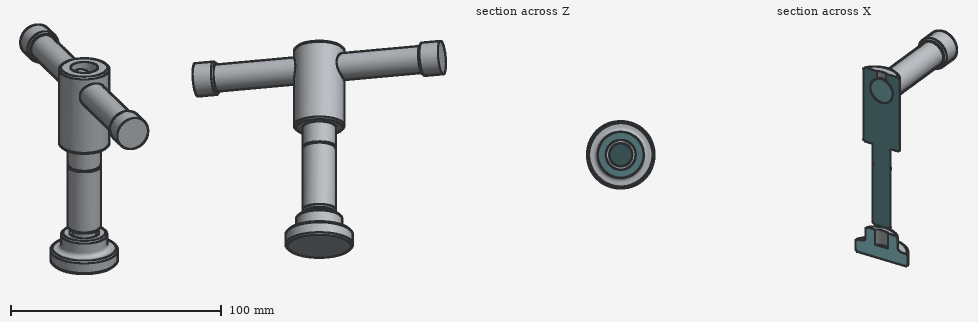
import cadquery as cq

total_height = 100.5
head_height = 40.0
head_bottom = total_height - head_height
edge_chamfer = 1.0

flange_diameter = 32.0
flange_height = 7.0
collar_diameter = 22.0
pad_height = 15.0
pad_fillet = 2.0
socket_diameter = 14.0
socket_floor = flange_height

head_diameter = 24.0
shaft_diameter = 16.0
shaft_bottom = 17.4
shaft_chamfer = 1.1
neck_diameter = 11.0
groove_height = 50.0
groove_half_width = 0.4
groove_depth = groove_half_width

handle_length = 120.0
handle_diameter = 13.0
handle_height = total_height - head_height / 4
knob_diameter = shaft_diameter
knob_length = 10.0
bore_diameter = handle_diameter


def make_pad():
    """Stepped round foot with chamfered rims and a filleted root below its collar, bored for the neck."""
    flange_radius = flange_diameter / 2
    socket_radius = socket_diameter / 2
    collar_radius = collar_diameter / 2
    profile = (
        cq.Workplane("XZ")
        .moveTo(0, socket_floor)
        .lineTo(socket_radius, socket_floor)
        .lineTo(socket_radius, pad_height)
        .lineTo(collar_radius - edge_chamfer, pad_height)
        .lineTo(collar_radius, pad_height - edge_chamfer)
        .lineTo(collar_radius, flange_height + pad_fillet)
        .tangentArcPoint((collar_radius + pad_fillet, flange_height), relative=False)
        .lineTo(flange_radius - edge_chamfer, flange_height)
        .lineTo(flange_radius, flange_height - edge_chamfer)
        .lineTo(flange_radius, edge_chamfer)
        .lineTo(flange_radius - edge_chamfer, 0)
        .lineTo(0, 0)
        .close()
    )
    return profile.revolve(360, (0, 0), (0, 1))


def make_handle():
    """Round bar with an integral knob at each end, chamfered on its inner rim."""
    bar = cq.Workplane("YZ").center(0, handle_height).circle(handle_diameter / 2)
    handle = bar.extrude(handle_length / 2, both=True)
    for side in (-1, 1):
        knob = (
            cq.Workplane("YZ", origin=(side * handle_length / 2, 0, handle_height))
            .circle(knob_diameter / 2)
            .extrude(-side * knob_length)
            .faces("<X" if side > 0 else ">X")
            .chamfer(edge_chamfer)
        )
        handle = handle.union(knob)
    return handle


def make_spindle():
    """Head, grooved shaft and neck turned in one piece, bored for the handle."""
    head_radius = head_diameter / 2
    shaft_radius = shaft_diameter / 2
    neck_radius = neck_diameter / 2
    profile = [
        (0, socket_floor),
        (neck_radius, socket_floor),
        (neck_radius, shaft_bottom),
        (shaft_radius - shaft_chamfer, shaft_bottom),
        (shaft_radius, shaft_bottom + shaft_chamfer),
        (shaft_radius, groove_height - groove_half_width),
        (shaft_radius - groove_depth, groove_height),
        (shaft_radius, groove_height + groove_half_width),
        (shaft_radius, head_bottom),
        (head_radius - edge_chamfer, head_bottom),
        (head_radius, head_bottom + edge_chamfer),
        (head_radius, total_height - edge_chamfer),
        (head_radius - edge_chamfer, total_height),
        (0, total_height),
    ]
    spindle = cq.Workplane("XZ").polyline(profile).close().revolve(360, (0, 0), (0, 1))
    cross_hole = (
        cq.Workplane("YZ")
        .center(0, handle_height)
        .circle(handle_diameter / 2)
        .extrude(head_diameter, both=True)
    )
    top_bore = (
        cq.Workplane("XY")
        .workplane(offset=handle_height)
        .circle(bore_diameter / 2)
        .extrude(total_height - handle_height)
    )
    return spindle.cut(cross_hole).cut(top_bore)


pad = make_pad()
handle = make_handle()
spindle = make_spindle()

result = cq.Compound.makeCompound([pad.val(), handle.val(), spindle.val()])